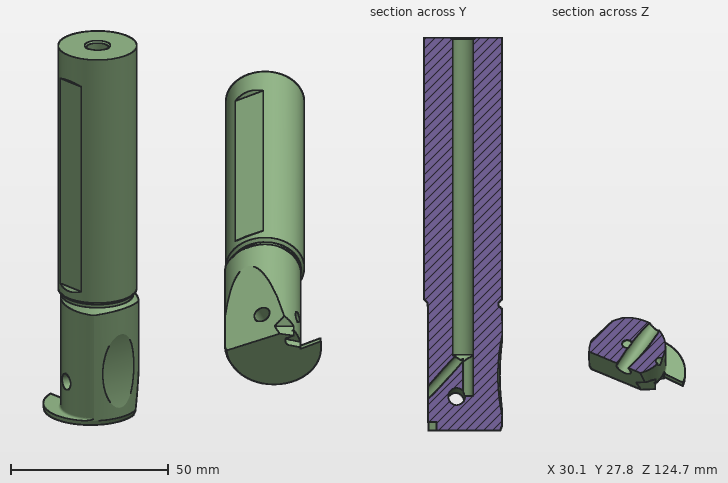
import cadquery as cq
import math

total_length = 124.72
shank_radius = 12.5
shank_bottom = 40.7
shank_chamfer = 1.0

flat_distance = 11.5
flat_bottom = 45.1
flat_top = 115.1

neck_radius = 11.4
neck_bottom = 39.6

support_center_x = 1.2
support_center_y = -0.15
support_radius = 12.4
blade_radius = 15.32
blade_center_x = shank_radius - blade_radius
blade_thickness = 1.7
blade_fillet = 0.8
blade_end_y = -3.96
blade_relief = 0.32

chip_foot_y = 5.5
chip_foot_x = 8.0
chip_slope = 0.246
chip_twist = 0.0625

scoop_radius = 60.0
scoop_depth = 1.25
scoop_z = 17.5
scoop_turn = 5.5

slot_height = 2.7
slot_wall_x = -8.5
slot_mouth_x = -11.5
slot_round_start_y = -1.4
slot_end_y = 1.9
slot_round_depth = 1.0
notch_start_x = -11.0
notch_end_x = -6.0
notch_start_z = 4.7
notch_rise_per_y = 0.58
notch_drop_per_x = 0.655

bore_radius = 3.5
bore_chamfer = 0.6
bore_bottom = 24.0
bore_tip_angle = 118.0
branch_radius = 1.6
branch_x = 1.6
branch_y = -1.1
branch_bottom = 11.0
front_hole_radius = 2.6
front_hole_start = cq.Vector(-1.6, -12.5, 12.7)
front_hole_exit = cq.Vector(-2.4, 8.0, 9.2)
side_hole_radius = 1.5
side_hole_mouth = cq.Vector(-11.2, -0.6, 11.8)
side_hole_inner = cq.Vector(-0.9, -2.0, 23.2)

clearance = 5.0
reach = 60.0


def cylinder(center_x, radius, bottom, top, center_y=0.0):
    """Upright cylinder centred on (center_x, center_y)."""
    plane = cq.Workplane("XY", origin=(center_x, center_y, bottom))
    return plane.circle(radius).extrude(top - bottom)


def drill(start, end, radius, overrun=0.0):
    """Round hole from start to end, lengthened backwards by overrun."""
    direction = (end - start).normalized()
    length = (end - start).Length + overrun
    return cq.Workplane(obj=cq.Solid.makeCylinder(radius, length, start - direction * overrun, direction))


def make_shank():
    bar = cylinder(0, shank_radius, shank_bottom, total_length)
    bar = bar.faces("<Z").chamfer(shank_chamfer)
    neck = cylinder(0, neck_radius, neck_bottom, shank_bottom)
    return bar.union(neck)


def make_flat_cutter(side):
    """Trapezoid prism that leaves one flat, side = +1 or -1 along Y."""
    outer = flat_distance + clearance
    return (
        cq.Workplane("YZ")
        .polyline([
            (side * flat_distance, flat_bottom),
            (side * flat_distance, flat_top),
            (side * outer, flat_top + clearance),
            (side * outer, flat_bottom - clearance),
        ])
        .close()
        .extrude(shank_radius, both=True)
    )


def make_blade_cylinder(top):
    """Blade cylinder whose rim below the blade top is relieved away from the cutting end."""
    rim = (
        cq.Workplane("XY", origin=(blade_center_x - blade_relief, 0, 0))
        .circle(blade_radius - blade_relief)
        .workplane(offset=blade_thickness)
        .center(blade_relief, 0)
        .circle(blade_radius)
        .loft(ruled=True)
    )
    return rim.union(cylinder(blade_center_x, blade_radius, blade_thickness, top))


def make_support():
    """Support cylinder with a conical shoulder on the shank axis at its top."""
    shoulder_drop = shank_radius + support_center_x - neck_radius
    shoulder = (
        cq.Workplane("XZ")
        .polyline([
            (0, 0),
            (neck_radius + shoulder_drop, 0),
            (neck_radius + shoulder_drop, neck_bottom - shoulder_drop),
            (neck_radius, neck_bottom),
            (0, neck_bottom),
        ])
        .close()
        .revolve()
    )
    support = cylinder(support_center_x, support_radius, 0, neck_bottom, support_center_y)
    return support.intersect(shoulder)


def make_blade():
    """Flange beyond the support, with a fillet at the support's foot, ending at blade_end_y."""
    foot_top = blade_thickness + blade_fillet
    arc_bulge = blade_fillet * (1 - math.sqrt(0.5))
    foot = (
        cq.Workplane("XZ")
        .moveTo(0, blade_thickness)
        .lineTo(support_radius + blade_fillet, blade_thickness)
        .threePointArc(
            (support_radius + arc_bulge, blade_thickness + arc_bulge),
            (support_radius, foot_top),
        )
        .lineTo(0, foot_top)
        .close()
        .revolve()
        .translate((support_center_x, support_center_y, 0))
    )
    flange = cylinder(blade_center_x, blade_radius, 0, blade_thickness).union(foot)
    lower_side = cq.Workplane("XY").box(2 * reach, reach, reach, centered=(True, False, True))
    return flange.intersect(lower_side.translate((0, blade_end_y - reach, 0)))


def make_chip_cutter():
    """Block beyond the sloping chip face, which leans back in Z and twists slightly about Z."""
    normal = cq.Vector(-chip_twist, 1, -chip_slope)
    x_direction = cq.Vector(1, chip_twist, 0)
    face = cq.Plane(origin=(chip_foot_x, chip_foot_y, 0), xDir=x_direction, normal=normal)
    block = cq.Workplane(face).rect(2 * reach, 2 * reach).extrude(reach)
    return block.intersect(cylinder(0, reach, -clearance, neck_bottom))


def make_scoop_cutter():
    """Large horizontal roller, turned about Z, that grazes the +X side of the head."""
    floor_x = shank_radius - scoop_depth
    roller = (
        cq.Workplane("XZ", origin=(scoop_radius, 0, scoop_z))
        .circle(scoop_radius)
        .extrude(reach, both=True)
        .rotate((0, 0, 0), (0, 0, 1), -scoop_turn)
        .translate((floor_x, 0, 0))
    )
    return roller.intersect(cylinder(0, reach, 0, neck_bottom))


def make_slot_cutter():
    """Slot at the foot, with a slanted wall at the blade end and a rounded recess beside it."""
    round_middle_y = (slot_round_start_y + slot_end_y) / 2
    return (
        cq.Workplane("XY", origin=(0, 0, -clearance))
        .moveTo(-reach, blade_end_y)
        .lineTo(slot_mouth_x, blade_end_y)
        .lineTo(slot_wall_x, slot_round_start_y)
        .threePointArc((slot_wall_x + slot_round_depth, round_middle_y), (slot_wall_x, slot_end_y))
        .lineTo(-reach, slot_end_y)
        .close()
        .extrude(slot_height + clearance)
    )


def make_notch_cutter():
    """Corner between the slot and the chip face: upright slanted wall under a tilted ceiling."""
    corner = (
        cq.Workplane("XY", origin=(0, 0, -clearance))
        .polyline([
            (-reach, slot_end_y),
            (notch_start_x, slot_end_y),
            (notch_end_x, chip_foot_y),
            (notch_end_x, reach),
            (-reach, reach),
        ])
        .close()
        .extrude(reach)
    )
    ceiling = cq.Plane(
        origin=(notch_start_x, slot_end_y, notch_start_z),
        xDir=(1, 0, -notch_drop_per_x),
        normal=(notch_drop_per_x, -notch_rise_per_y, 1),
    )
    below_ceiling = cq.Workplane(ceiling).rect(2 * reach, 2 * reach).extrude(-reach)
    return corner.intersect(below_ceiling)


def make_head():
    head = make_support().union(make_blade())
    head = head.intersect(make_blade_cylinder(neck_bottom))
    for cutter in (make_chip_cutter(), make_scoop_cutter(), make_slot_cutter(), make_notch_cutter()):
        head = head.cut(cutter)
    return head


def make_bore():
    """Chamfered bore with a drill-point bottom, and the narrow branch down to the front hole."""
    tip_depth = bore_radius / math.tan(math.radians(bore_tip_angle / 2))
    bore = (
        cq.Workplane("XZ")
        .polyline([
            (0, bore_bottom - tip_depth),
            (bore_radius, bore_bottom),
            (bore_radius, total_length - bore_chamfer),
            (bore_radius + bore_chamfer, total_length),
            (0, total_length),
        ])
        .close()
        .revolve()
    )
    return bore.union(cylinder(branch_x, branch_radius, branch_bottom, bore_bottom, branch_y))


result = make_shank().union(make_head())
for flat_side in (1, -1):
    result = result.cut(make_flat_cutter(flat_side))
result = result.cut(make_bore())
result = result.cut(drill(front_hole_start, front_hole_exit, front_hole_radius, clearance))
result = result.cut(drill(side_hole_mouth, side_hole_inner, side_hole_radius, clearance))